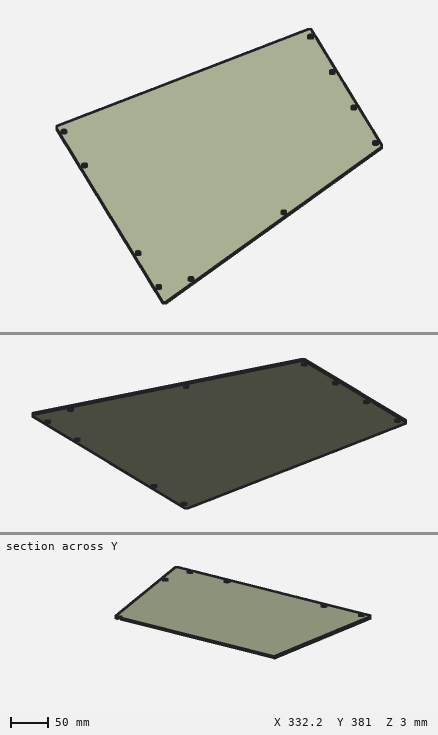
import cadquery as cq
import math

height = 381.0
thickness = 3.0
top_width = 221.9
overall_width = 332.15
corner_radius = 3.175

hole_diameter = 6.35
edge_inset = 6.35
side_inset = 12.7
top_hole_count = 4
top_hole_pitch = 66.675
bottom_hole_pitch = 63.5
bottom_right_hole_x = 304.8
slant_hole_heights = [51.2, 212.6]


def sharp_bottom_width():
    """Bottom width before rounding; the rounded corner then reaches the overall width."""
    refinement_steps = 20
    width = overall_width
    for _ in range(refinement_steps):
        corner_angle = math.atan2(height, width - top_width)
        width = overall_width + corner_radius * (1 / math.tan(corner_angle / 2) - 1)
    return width


bottom_width = sharp_bottom_width()


def make_panel():
    outline = [(0, 0), (bottom_width, 0), (top_width, height), (0, height)]
    blank = cq.Workplane("XY").polyline(outline).close().extrude(thickness)
    return blank.edges("|Z").fillet(corner_radius)


def top_hole_centres():
    y = height - edge_inset
    return [(side_inset + i * top_hole_pitch, y) for i in range(top_hole_count)]


def bottom_hole_centres():
    left_pair = [side_inset, side_inset + bottom_hole_pitch]
    right_pair = [bottom_right_hole_x - bottom_hole_pitch, bottom_right_hole_x]
    return [(x, edge_inset) for x in left_pair + right_pair]


def slant_hole_centres():
    """Holes set in from the slanted side by the edge inset, measured square to that side."""
    run = bottom_width - top_width
    inset_along_x = edge_inset * math.hypot(run, height) / height
    return [(bottom_width - run * y / height - inset_along_x, y) for y in slant_hole_heights]


def make_holes():
    centres = top_hole_centres() + bottom_hole_centres() + slant_hole_centres()
    return cq.Workplane("XY").pushPoints(centres).circle(hole_diameter / 2).extrude(thickness)


result = make_panel().cut(make_holes())